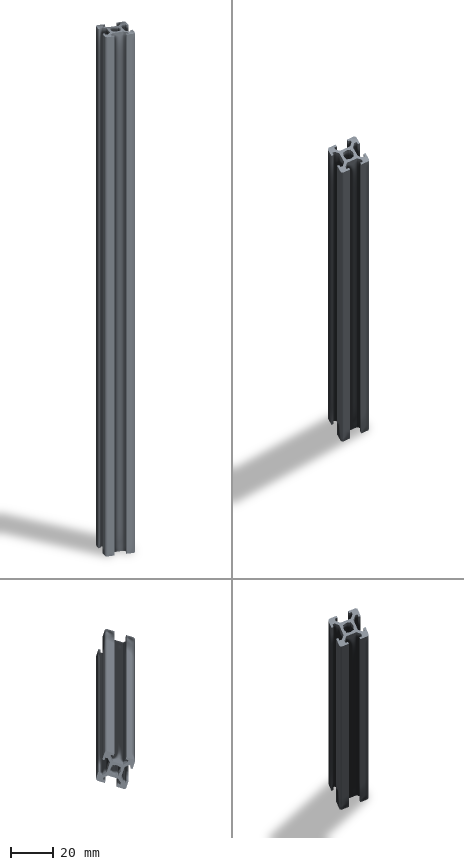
import cadquery as cq
import math

length = 270.0
side = 15.0
corner_radius = 1.0

slot_opening = 6.0
lip_thickness = 1.0
corner_block = 3.2
core_side = 7.3
web_thickness = 1.4
hole_side = 4.0
hole_diameter = 4.9

half_side = side / 2
lip_length = (side - slot_opening) / 2


def square_bar(size):
    return cq.Workplane("XY").rect(size, size).extrude(length)


def corner_section():
    """L-shaped pair of lips around a solid block, in the +X +Y corner."""
    outer = half_side
    tip = outer - lip_length
    inner = outer - lip_thickness
    block = outer - corner_block
    profile = (
        cq.Workplane("XY")
        .moveTo(outer, tip)
        .lineTo(outer, outer)
        .lineTo(tip, outer)
        .lineTo(tip, inner)
        .lineTo(block, inner)
        .lineTo(block, block)
        .lineTo(inner, block)
        .lineTo(inner, tip)
        .close()
        .extrude(length)
    )
    return profile.edges("|Z").edges(">(1, 1, 0)").fillet(corner_radius)


def diagonal_web(angle):
    web_length = 2 * math.sqrt(2) * (half_side - corner_block / 2)
    web = cq.Workplane("XY").rect(web_length, web_thickness).extrude(length)
    return web.rotate((0, 0, 0), (0, 0, 1), angle)


body = square_bar(core_side)
for web_angle in (45, 135):
    body = body.union(diagonal_web(web_angle))

for quarter in range(4):
    body = body.union(corner_section().rotate((0, 0, 0), (0, 0, 1), 90 * quarter))

bore = cq.Workplane("XY").circle(hole_diameter / 2).extrude(length)
result = body.cut(square_bar(hole_side).union(bore))